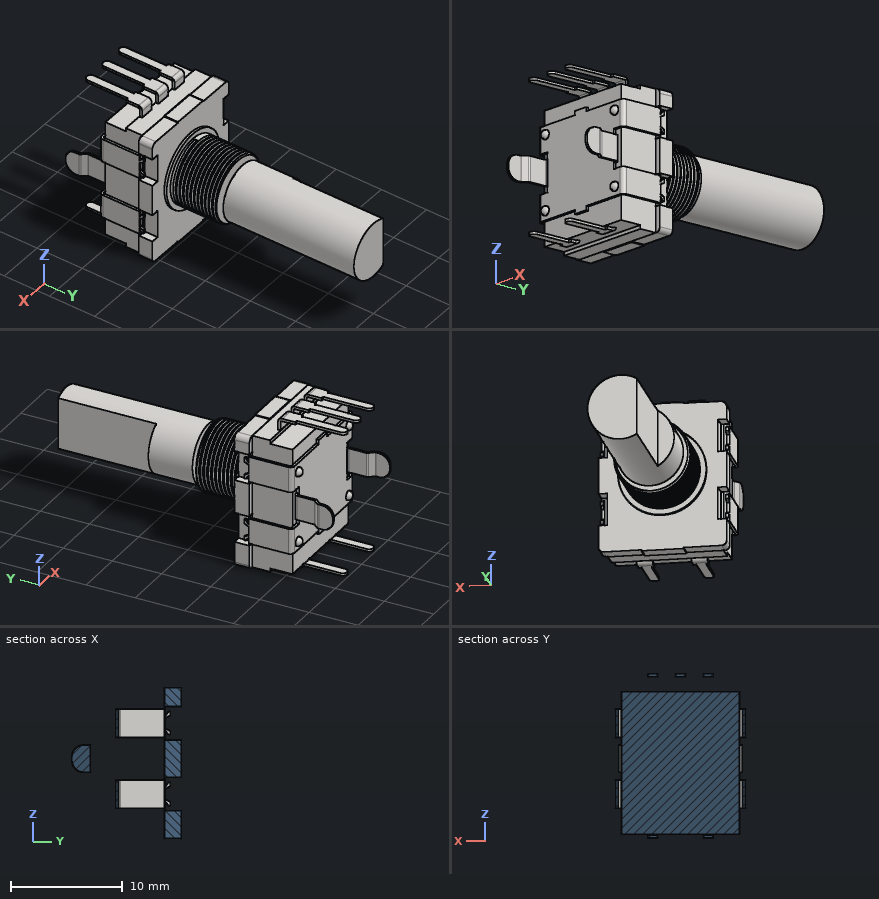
import cadquery as cq
import math


SHAFT_RADIUS = 3.0
SHAFT_TIP_Y = 20.25
SHOULDER_Y = 5.78
NECK_RADIUS = 2.05
FLAT_LENGTH = 10.0
FLAT_OFFSET = 1.5

BRACKET_WIDTH = 11.7
BRACKET_HALF_WIDTH = BRACKET_WIDTH / 2
BRACKET_TOP_Z = 6.38
BRACKET_BOTTOM_Z = -7.15
BRACKET_DEPTH = 1.55
TOP_CORNER_RADIUS = 0.55
BOTTOM_CORNER_RADIUS = 0.45
PAD_HALF_WIDTH = 1.93
PAD_HEIGHT = 0.1
NOTCH_FLOOR_X = 5.05
NOTCH_INNER_Z = 1.7
NOTCH_OUTER_Z = 4.67
FLANGE_RADIUS = 4.03
FLANGE_THICKNESS = 0.27
BUSHING_RADIUS = 3.5
BUSHING_END_Y = 5.27
BUSHING_CHAMFER = 0.18
THREAD_START_Y = 0.63
THREAD_LENGTH = 4.82
THREAD_TURNS = 12
THREAD_PITCH = THREAD_LENGTH / THREAD_TURNS
GROOVE_WIDTH = 0.3
GROOVE_DEPTH = 0.15

BASE_HALF_WIDTH = 5.3
BASE_FRONT_Y = -BRACKET_DEPTH
BASE_STEP_Y = -3.35
BASE_REAR_Y = -5.63
BASE_STEP_HEIGHT = 0.35

COVER_THICKNESS = 0.27
COVER_BEND_RADIUS = 0.27
BAND_OUTER_Z = 4.45
BAND_INNER_Z = 1.9
LEG_FRONT_Y = -1.45
SHOULDER_LENGTH = 0.1
PLATE_WAIST_HALF_WIDTH = 4.58
TONGUE_HALF_WIDTH = 0.78
TONGUE_END_Z = 4.85
DOME_RADIUS = 0.45
DOME_X = 4.8
DOME_Z = 3.58

TINE_REACH = 0.45
TINE_TIP_LENGTH = 0.18
TINE_ROOT_INNER = 0.45
TINE_ROOT_OUTER = 0.7
TINE_TIP_OUTER = 1.05

TAB_THICKNESS = 0.25
TAB_HALF_WIDTH = 1.23
TAB_END_RADIUS = 1.08
TAB_BEND_RADIUS = 0.18
TAB_STEM_X = 4.95
TAB_TIP_X = 5.42
TAB_JOG_START_Y = -7.77
TAB_JOG_END_Y = -8.35
TAB_TIP_Y = -9.85

PIN_PITCH = 2.5
PIN_THICKNESS = 0.27
PIN_BEND_RADIUS = 0.27
PIN_WIDE = 1.47
PIN_NARROW = 0.9
PIN_TIP_Y = -9.7
PIN_ROOT_DEPTH = 0.6
TOP_PIN_Z = 7.62
TOP_PIN_FRONT_Y = -3.05
TOP_PIN_NECK_Y = -4.82
BOTTOM_PIN_Z = -7.13
BOTTOM_PIN_FRONT_Y = -4.45
BOTTOM_PIN_NECK_Y = -5.5


def block(x_range, y_range, z_range):
    """Box between two limits along each axis, given in either order."""
    low = [min(limits) for limits in (x_range, y_range, z_range)]
    high = [max(limits) for limits in (x_range, y_range, z_range)]
    sizes = [b - a for a, b in zip(low, high)]
    return cq.Workplane("XY").box(*sizes, centered=False).translate(tuple(low))


def disc(radius, start_y, end_y):
    """Cylinder on the Y axis."""
    return cq.Workplane("XZ", origin=(0, end_y, 0)).circle(radius).extrude(end_y - start_y)


def mirrored(solid):
    """The solid together with its mirror image at -X."""
    return solid.union(solid.mirror("YZ"))


def strip_side(path, offset, bend_radius):
    """Start point of one side of a bent strip, and its segments as (arc mid point or None, end point)."""
    points = [cq.Vector(*point) for point in path]
    up = cq.Vector(0, 0, 1)
    directions = [(b - a).normalized() for a, b in zip(points, points[1:])]
    normals = [up.cross(direction) for direction in directions]
    start = points[0] + normals[0] * offset
    segments = []
    for i in range(1, len(points) - 1):
        before, after = directions[i - 1], directions[i]
        turn = math.copysign(1, before.cross(after).z)
        setback = bend_radius * math.tan(before.getAngle(after) / 2)
        arc_start = points[i] - before * setback
        arc_end = points[i] + after * setback
        center = arc_start + normals[i - 1] * (turn * bend_radius)
        arc_mid = center + (points[i] - center).normalized() * (bend_radius - turn * offset)
        segments.append((None, arc_start + normals[i - 1] * offset))
        segments.append((arc_mid, arc_end + normals[i] * offset))
    segments.append((None, points[-1] + normals[-1] * offset))
    return start, segments


def bent_strip(plane, path, thickness, bend_radius, half_width):
    """Sheet strip following a path of straight runs and round bends, centred on the plane."""
    start, segments = strip_side(path, thickness / 2, bend_radius)
    return_start, return_segments = strip_side(path[::-1], thickness / 2, bend_radius)
    outline = cq.Workplane(plane).moveTo(start.x, start.y)
    for mid, end in segments + [(None, return_start)] + return_segments:
        if mid is None:
            outline = outline.lineTo(end.x, end.y)
        else:
            outline = outline.threePointArc((mid.x, mid.y), (end.x, end.y))
    return outline.close().extrude(half_width, both=True)


def make_shaft():
    shaft = disc(SHAFT_RADIUS, SHOULDER_Y, SHAFT_TIP_Y)
    flat_cut = block(
        (-SHAFT_RADIUS, -FLAT_OFFSET),
        (SHAFT_TIP_Y - FLAT_LENGTH, SHAFT_TIP_Y),
        (-SHAFT_RADIUS, SHAFT_RADIUS),
    )
    return shaft.cut(flat_cut).union(disc(NECK_RADIUS, -BRACKET_DEPTH, SHOULDER_Y))


def thread_groove():
    """Right-handed V groove around the Y axis, starting at the +Z side."""
    outer_margin = 0.03
    half_width = GROOVE_WIDTH / 2 * (1 + outer_margin / GROOVE_DEPTH)
    helix = cq.Wire.makeHelix(THREAD_PITCH, THREAD_LENGTH, BUSHING_RADIUS)
    profile = cq.Workplane("XZ").polyline([
        (BUSHING_RADIUS - GROOVE_DEPTH, 0),
        (BUSHING_RADIUS + outer_margin, half_width),
        (BUSHING_RADIUS + outer_margin, -half_width),
    ]).close()
    groove = profile.sweep(cq.Workplane(helix), isFrenet=True)
    groove = groove.rotate((0, 0, 0), (0, 0, 1), -90)
    groove = groove.rotate((0, 0, 0), (1, 0, 0), -90)
    return groove.translate((0, THREAD_START_Y, 0))


def make_bushing():
    bushing = disc(BUSHING_RADIUS, 0, BUSHING_END_Y)
    chamfered = bushing.faces(">Y").chamfer(BUSHING_CHAMFER)
    return bushing.cut(thread_groove()).intersect(chamfered)


def make_bracket():
    bracket = block(
        (-BRACKET_HALF_WIDTH, BRACKET_HALF_WIDTH),
        (-BRACKET_DEPTH, 0),
        (BRACKET_BOTTOM_Z, BRACKET_TOP_Z),
    )
    bracket = bracket.edges("|Y and >Z").fillet(TOP_CORNER_RADIUS)
    bracket = bracket.edges("|Y and <Z").fillet(BOTTOM_CORNER_RADIUS)
    bracket = bracket.union(block(
        (-PAD_HALF_WIDTH, PAD_HALF_WIDTH),
        (-BRACKET_DEPTH, 0),
        (BRACKET_BOTTOM_Z - PAD_HEIGHT, BRACKET_TOP_Z + PAD_HEIGHT),
    ))
    for side in (-1, 1):
        notch = block(
            (NOTCH_FLOOR_X, BRACKET_HALF_WIDTH),
            (-BRACKET_DEPTH, 0),
            (side * NOTCH_INNER_Z, side * NOTCH_OUTER_Z),
        )
        bracket = bracket.cut(mirrored(notch))
    bracket = bracket.union(disc(FLANGE_RADIUS, 0, FLANGE_THICKNESS))
    bracket = bracket.union(make_bushing())
    return bracket.cut(disc(NECK_RADIUS, -BRACKET_DEPTH, BUSHING_END_Y))


def make_base_block():
    width = (-BASE_HALF_WIDTH, BASE_HALF_WIDTH)
    front = block(width, (BASE_FRONT_Y, BASE_STEP_Y), (BRACKET_BOTTOM_Z, BRACKET_TOP_Z))
    rear_z = (BRACKET_BOTTOM_Z + BASE_STEP_HEIGHT, BRACKET_TOP_Z - BASE_STEP_HEIGHT)
    return front.union(block(width, (BASE_STEP_Y, BASE_REAR_Y), rear_z))


def leg_end(band_z):
    """Shoulder and two spread staking tines at the front of the leg on the +X side."""
    shoulder = block(
        (NOTCH_FLOOR_X, BRACKET_HALF_WIDTH),
        (LEG_FRONT_Y - SHOULDER_LENGTH, LEG_FRONT_Y),
        (math.copysign(NOTCH_INNER_Z, band_z), math.copysign(NOTCH_OUTER_Z, band_z)),
    )
    tip_y = LEG_FRONT_Y + TINE_REACH
    tine = cq.Workplane("YZ", origin=(BRACKET_HALF_WIDTH - COVER_THICKNESS, 0, 0)).polyline([
        (LEG_FRONT_Y, TINE_ROOT_INNER),
        (tip_y, TINE_ROOT_OUTER),
        (tip_y, TINE_TIP_OUTER),
        (tip_y - TINE_TIP_LENGTH, TINE_TIP_OUTER),
        (LEG_FRONT_Y, TINE_ROOT_OUTER),
    ]).close().extrude(COVER_THICKNESS)
    tines = tine.union(tine.mirror("XY")).translate((0, 0, band_z))
    return shoulder.union(tines)


def make_cover():
    """Rear plate with two bands folded forward along the sides of the base."""
    plate_y = (BASE_REAR_Y - COVER_THICKNESS, BASE_REAR_Y)
    middle_y = BASE_REAR_Y - COVER_THICKNESS / 2
    leg_x = BRACKET_HALF_WIDTH - COVER_THICKNESS / 2
    cover = block(
        (-PLATE_WAIST_HALF_WIDTH, PLATE_WAIST_HALF_WIDTH), plate_y, (-BAND_OUTER_Z, BAND_OUTER_Z)
    )
    cover = cover.union(block(
        (-TONGUE_HALF_WIDTH, TONGUE_HALF_WIDTH), plate_y, (-TONGUE_END_Z, TONGUE_END_Z)
    ))
    band_path = [(-leg_x, LEG_FRONT_Y), (-leg_x, middle_y), (leg_x, middle_y), (leg_x, LEG_FRONT_Y)]
    band = bent_strip(
        "XY", band_path, COVER_THICKNESS, COVER_BEND_RADIUS, (BAND_OUTER_Z - BAND_INNER_Z) / 2
    )
    for side in (-1, 1):
        band_z = side * (BAND_OUTER_Z + BAND_INNER_Z) / 2
        cover = cover.union(band.translate((0, 0, band_z))).union(mirrored(leg_end(band_z)))
        dome = cq.Workplane("XY").sphere(DOME_RADIUS)
        cover = cover.union(mirrored(dome.translate((DOME_X, plate_y[0], side * DOME_Z))))
    return cover


def make_tab():
    """Jogged mounting tab with a round end, on the +X side."""
    root_y = BASE_REAR_Y - TAB_THICKNESS / 2
    path = [
        (PLATE_WAIST_HALF_WIDTH - TAB_THICKNESS, root_y),
        (TAB_STEM_X, root_y),
        (TAB_STEM_X, TAB_JOG_START_Y),
        (TAB_TIP_X, TAB_JOG_END_Y),
        (TAB_TIP_X, TAB_TIP_Y),
    ]
    tab = bent_strip("XY", path, TAB_THICKNESS, TAB_BEND_RADIUS, TAB_HALF_WIDTH)
    return tab.edges("|X and <Y").fillet(TAB_END_RADIUS)


def make_pin(outer_z, front_y, neck_y, base_z):
    """Bent solder pin at x = 0 that leaves the base at base_z and runs toward -Y with a round tip."""
    outward = math.copysign(1, outer_z)
    root = (front_y - PIN_THICKNESS / 2, base_z - outward * PIN_ROOT_DEPTH)
    corner = (root[0], outer_z - outward * PIN_THICKNESS / 2)
    pin = bent_strip(
        "YZ", [root, corner, (PIN_TIP_Y, corner[1])], PIN_THICKNESS, PIN_BEND_RADIUS, PIN_WIDE / 2
    )
    narrow = PIN_NARROW / 2
    wide = PIN_WIDE / 2
    outline = (
        cq.Workplane("XY", origin=(0, 0, min(root[1], outer_z)))
        .moveTo(-wide, front_y)
        .lineTo(-wide, neck_y)
        .lineTo(-narrow, neck_y)
        .lineTo(-narrow, PIN_TIP_Y + narrow)
        .threePointArc((0, PIN_TIP_Y), (narrow, PIN_TIP_Y + narrow))
        .lineTo(narrow, neck_y)
        .lineTo(wide, neck_y)
        .lineTo(wide, front_y)
        .close()
        .extrude(abs(outer_z - root[1]))
    )
    return pin.intersect(outline)


def make_base():
    base = make_base_block().union(make_cover()).union(mirrored(make_tab()))
    top_pin = make_pin(TOP_PIN_Z, TOP_PIN_FRONT_Y, TOP_PIN_NECK_Y, BRACKET_TOP_Z)
    for column in (-1, 0, 1):
        base = base.union(top_pin.translate((column * PIN_PITCH, 0, 0)))
    bottom_pin = make_pin(
        BOTTOM_PIN_Z, BOTTOM_PIN_FRONT_Y, BOTTOM_PIN_NECK_Y, BRACKET_BOTTOM_Z + BASE_STEP_HEIGHT
    )
    for column in (-1, 1):
        base = base.union(bottom_pin.translate((column * PIN_PITCH, 0, 0)))
    return base


shaft = make_shaft()
bracket = make_bracket()
base = make_base()
result = cq.Compound.makeCompound([body.solids().val() for body in (shaft, bracket, base)])